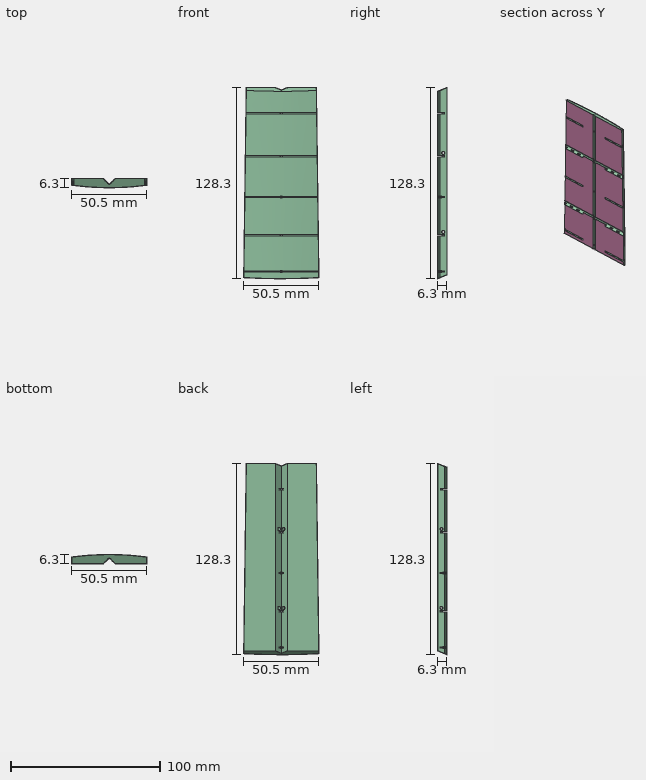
import cadquery as cq
import math


LENGTH = 128.25
THICKNESS = 6.3
TOP_WIDTH = 47.13
BOTTOM_WIDTH = 50.55
FACE_RADIUS = 184.15
END_ANGLE = 22.5
END_DROP = THICKNESS * math.tan(math.radians(END_ANGLE))

SCALE_LENGTH = 647.7
SEMITONES_PER_OCTAVE = 12
FRETS = range(4, 9)
FIRST_SLOT_Z = 110.97
SLOT_WIDTH = 0.85
SLOT_DEPTH = 2.9

GROOVE_DEPTH = 4.0
GROOVE_HALF_WIDTH = GROOVE_DEPTH

MARKER_FRETS = (5, 7)
MARKER_DIAMETER = 1.85
MARKER_FROM_BACK = 2.58
MARKER_ABOVE_FRET = 2.2


def nut_distance(fret):
    """Distance from the nut to a fret in equal temperament."""
    return SCALE_LENGTH * (1 - 2 ** (-fret / SEMITONES_PER_OCTAVE))


def fret_height(fret):
    """Z of the middle of a fret slot."""
    return FIRST_SLOT_Z + nut_distance(FRETS[0]) - nut_distance(fret)


def make_face_cylinder(depth, bottom, height):
    """Cylinder along Z whose surface lies the given depth below the playing face."""
    axis_y = FACE_RADIUS - THICKNESS
    return (
        cq.Workplane("XY", origin=(0, axis_y, bottom))
        .circle(FACE_RADIUS - depth)
        .extrude(height)
    )


def make_board():
    """Tapered board with parallel sloping ends and a cylindrical playing face."""
    side_profile = (
        cq.Workplane("YZ")
        .polyline([
            (0, END_DROP),
            (0, LENGTH),
            (-THICKNESS, LENGTH - END_DROP),
            (-THICKNESS, 0),
        ])
        .close()
        .extrude(BOTTOM_WIDTH, both=True)
    )
    tapered_outline = (
        cq.Workplane("XZ")
        .polyline([
            (-BOTTOM_WIDTH / 2, 0),
            (BOTTOM_WIDTH / 2, 0),
            (TOP_WIDTH / 2, LENGTH),
            (-TOP_WIDTH / 2, LENGTH),
        ])
        .close()
        .extrude(THICKNESS)
    )
    face_cylinder = make_face_cylinder(0, 0, LENGTH)
    return side_profile.intersect(tapered_outline).intersect(face_cylinder)


def make_groove():
    """V groove down the middle of the back, full length."""
    return (
        cq.Workplane("XY")
        .polyline([
            (-GROOVE_HALF_WIDTH, 0),
            (GROOVE_HALF_WIDTH, 0),
            (0, -GROOVE_DEPTH),
        ])
        .close()
        .extrude(LENGTH)
    )


def make_slot(fret):
    """Slot across the full width, with a floor parallel to the curved face."""
    bottom = fret_height(fret) - SLOT_WIDTH / 2
    slab = (
        cq.Workplane("XY", origin=(0, -THICKNESS, bottom))
        .rect(2 * BOTTOM_WIDTH, 2 * THICKNESS)
        .extrude(SLOT_WIDTH)
    )
    return slab.cut(make_face_cylinder(SLOT_DEPTH, bottom, SLOT_WIDTH))


def make_marker_hole(fret):
    """Round hole through both side walls, just above a fret slot."""
    return (
        cq.Workplane("YZ")
        .center(-MARKER_FROM_BACK, fret_height(fret) + MARKER_ABOVE_FRET)
        .circle(MARKER_DIAMETER / 2)
        .extrude(BOTTOM_WIDTH, both=True)
    )


result = make_board().cut(make_groove())
for slotted_fret in FRETS:
    result = result.cut(make_slot(slotted_fret))
for marked_fret in MARKER_FRETS:
    result = result.cut(make_marker_hole(marked_fret))